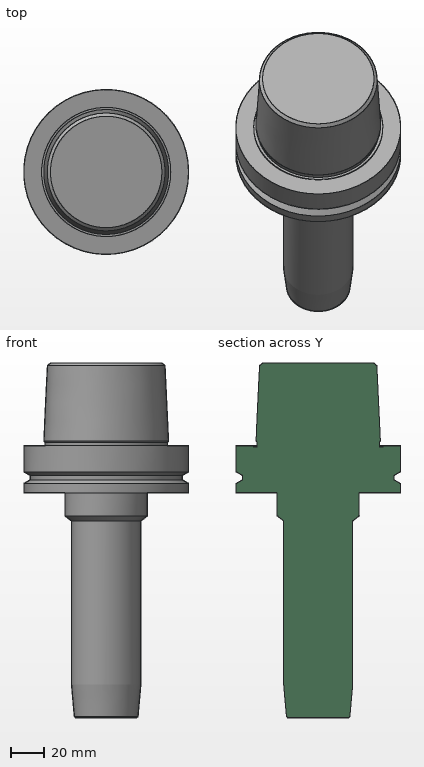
import cadquery as cq
import math

total_length = 215.0

taper_top_radius = 35.7
taper_base_radius = 37.8
taper_chamfer_width = 2.0
taper_chamfer_height = 1.5

relief_height = 2.8
relief_depth = 0.6
relief_lead_in = 0.9
face_groove_radius = 39.1
face_groove_depth = 0.6

flange_radius = 100.0 / 2
flange_top = 164.8
flange_bottom = 136.2
groove_center = 145.5
groove_floor_width = 2.5
groove_depth = 3.9
groove_side_height = groove_depth * math.tan(math.radians(30))

collar_radius = flange_radius / 2
collar_chamfer_top = 122.3
collar_chamfer_bottom = 119.3
shank_radius = 21.0

nose_length = 20.2
nose_tip_radius = 19.3
nose_tip_chamfer = 0.9


def revolve_profile(points):
    """Turn a closed (radius, z) outline about the Z axis."""
    return cq.Workplane("XZ").polyline(points).close().revolve(360, (0, 0, 0), (0, 1, 0))


def make_taper():
    relief_top = flange_top + relief_height
    relief_radius = taper_base_radius - relief_depth
    relief_floor = flange_top - face_groove_depth
    return revolve_profile([
        (0, relief_floor),
        (relief_radius, relief_floor),
        (relief_radius, relief_top - relief_lead_in),
        (taper_base_radius, relief_top),
        (taper_top_radius, total_length - taper_chamfer_height),
        (taper_top_radius - taper_chamfer_width, total_length),
        (0, total_length),
    ])


def make_flange():
    floor_radius = flange_radius - groove_depth
    floor_top = groove_center + groove_floor_width / 2
    floor_bottom = groove_center - groove_floor_width / 2
    return revolve_profile([
        (0, flange_bottom),
        (flange_radius, flange_bottom),
        (flange_radius, floor_bottom - groove_side_height),
        (floor_radius, floor_bottom),
        (floor_radius, floor_top),
        (flange_radius, floor_top + groove_side_height),
        (flange_radius, flange_top),
        (face_groove_radius, flange_top),
        (face_groove_radius, flange_top - face_groove_depth),
        (0, flange_top - face_groove_depth),
    ])


def make_shank():
    return revolve_profile([
        (0, nose_length),
        (shank_radius, nose_length),
        (shank_radius, collar_chamfer_bottom),
        (collar_radius, collar_chamfer_top),
        (collar_radius, flange_bottom),
        (0, flange_bottom),
    ])


def make_nose():
    return revolve_profile([
        (0, 0),
        (nose_tip_radius - nose_tip_chamfer, 0),
        (nose_tip_radius, nose_tip_chamfer),
        (shank_radius, nose_length),
        (0, nose_length),
    ])


result = make_shank().union(make_nose()).union(make_flange()).union(make_taper())